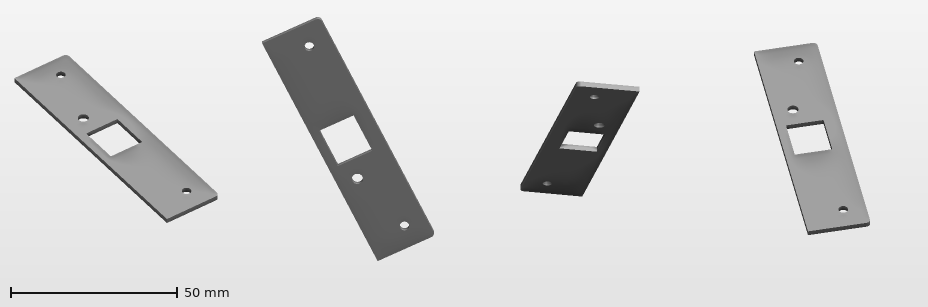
import cadquery as cq

length = 79.5
width = 19.3
thickness = 1.6
corner_radius = 1.3

mount_hole_diameter = 2.9
mount_hole_spacing = 65.5
mount_hole_shift = -0.15
mount_hole_y = 12.3

side_hole_diameter = 3.3
side_hole_x = -12.8
side_hole_y = 6.35

window_length = 12.9
window_width = 11.5
window_x = 0
window_y = 8.7


def make_plate():
    """Flat plate with its two rear corners rounded."""
    plate = cq.Workplane("XY").box(length, width, thickness, centered=(True, False, False))
    return plate.edges("|Z and >Y").fillet(corner_radius)


def round_cutter(x, y, diameter):
    return cq.Workplane("XY").center(x, y).circle(diameter / 2).extrude(thickness)


def window_cutter():
    return cq.Workplane("XY").center(window_x, window_y).rect(window_length, window_width).extrude(thickness)


result = make_plate().cut(window_cutter())
result = result.cut(round_cutter(side_hole_x, side_hole_y, side_hole_diameter))
for side in (-1, 1):
    mount_hole_x = mount_hole_shift + side * mount_hole_spacing / 2
    result = result.cut(round_cutter(mount_hole_x, mount_hole_y, mount_hole_diameter))